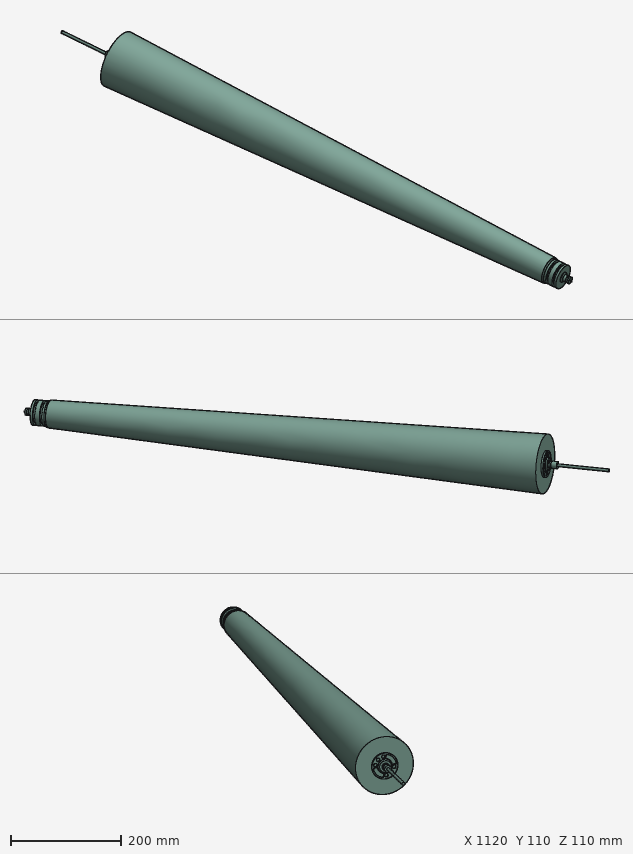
import cadquery as cq

TOTAL_LENGTH = 1120.0

BODY_START = 122.0
BODY_LENGTH = 949.0
BODY_END = BODY_START + BODY_LENGTH
WIDE_RADIUS = 55.0
NARROW_RADIUS = 26.0

CAP_RADIUS = 25.0
CAP_THICKNESS = 3.0
WIDE_CAP_FACE = BODY_START - CAP_THICKNESS
NARROW_CAP_FACE = BODY_END + CAP_THICKNESS

CAP_OPENING_DISTANCE = 18.0
SLOT_WIDTH = 8.0
SLOT_SWEEP = 76.0
SLOT_ANGLES = (-45.0, 135.0)
HOLE_RADIUS = 3.0
HOLE_SPACING = 36.0
HOLE_GROUP_ANGLES = (-135.0, 45.0)

PLUG_RADIUS = 24.0
PLUG_GROOVE_RADIUS = 19.0
PLUG_GROOVE_WIDTH = 5.0
PLUG_GROOVE_STARTS = (1079.0, 1092.0)
PLUG_END = 1101.0

HUB_LENGTH = 3.0
HUB_CHAMFER = 2.0
WIDE_HUB_RADIUS = 13.0
NARROW_HUB_RADIUS = 10.0

GLAND_RADIUS = 7.0
GLAND_NECK_RADIUS = 6.0
GLAND_NECK_WIDTH = 3.0
WIDE_GLAND_START = 99.0
WIDE_NECK_START = 110.0
NARROW_GLAND_END = 1117.0
NARROW_NECK_START = 1110.0

ROD_RADIUS = 2.8
ROD_TIP_RADIUS = 1.0


def cylinder(start, end, radius):
    """Solid cylinder on the X axis from start to end."""
    return cq.Workplane("YZ", origin=(start, 0, 0)).circle(radius).extrude(end - start)


def ring(start, width, inner_radius, outer_radius):
    """Flat ring around the X axis."""
    profile = cq.Workplane("YZ", origin=(start, 0, 0)).circle(outer_radius).circle(inner_radius)
    return profile.extrude(width)


def tapered_body():
    profile = cq.Workplane("XY").polyline(
        [(BODY_START, 0), (BODY_START, WIDE_RADIUS), (BODY_END, NARROW_RADIUS), (BODY_END, 0)]
    )
    return profile.close().revolve(360, (0, 0, 0), (1, 0, 0))


def kidney_slot(angle):
    """Arc-shaped cutter through the wide-end cap, centred on an angle about X."""
    inner_radius = CAP_OPENING_DISTANCE - SLOT_WIDTH / 2
    slot = (
        cq.Workplane("XY", origin=(WIDE_CAP_FACE, 0, 0))
        .moveTo(0, inner_radius)
        .rect(CAP_THICKNESS, SLOT_WIDTH, centered=False)
        .revolve(SLOT_SWEEP, (0, 0, 0), (1, 0, 0))
    )
    return slot.rotate((0, 0, 0), (1, 0, 0), angle - SLOT_SWEEP / 2)


def round_hole(angle):
    """Round cutter through the wide-end cap at an angle about X."""
    hole = cylinder(WIDE_CAP_FACE, BODY_START, HOLE_RADIUS).translate((0, CAP_OPENING_DISTANCE, 0))
    return hole.rotate((0, 0, 0), (1, 0, 0), angle)


def wide_cap():
    cap = cylinder(WIDE_CAP_FACE, BODY_START, CAP_RADIUS)
    for angle in SLOT_ANGLES:
        cap = cap.cut(kidney_slot(angle))
    for group_angle in HOLE_GROUP_ANGLES:
        for step in (-1, 0, 1):
            cap = cap.cut(round_hole(group_angle + step * HOLE_SPACING))
    return cap


def grooved_plug():
    plug = cylinder(NARROW_CAP_FACE, PLUG_END, PLUG_RADIUS)
    for start in PLUG_GROOVE_STARTS:
        plug = plug.cut(ring(start, PLUG_GROOVE_WIDTH, PLUG_GROOVE_RADIUS, PLUG_RADIUS))
    return plug


def hub(start, radius, outer_face):
    """Short disc, chamfered around its outer face."""
    disc = cylinder(start, start + HUB_LENGTH, radius)
    return disc.faces(outer_face).chamfer(HUB_CHAMFER)


def gland(start, end, neck_start):
    neck = ring(neck_start, GLAND_NECK_WIDTH, GLAND_NECK_RADIUS, GLAND_RADIUS)
    return cylinder(start, end, GLAND_RADIUS).cut(neck)


wide_hub_start = WIDE_CAP_FACE - HUB_LENGTH
narrow_hub_end = PLUG_END + HUB_LENGTH

pieces = [
    wide_cap(),
    hub(wide_hub_start, WIDE_HUB_RADIUS, "<X"),
    gland(WIDE_GLAND_START, wide_hub_start, WIDE_NECK_START),
    cylinder(0, WIDE_GLAND_START, ROD_RADIUS),
    cylinder(BODY_END, NARROW_CAP_FACE, CAP_RADIUS),
    grooved_plug(),
    hub(PLUG_END, NARROW_HUB_RADIUS, ">X"),
    gland(narrow_hub_end, NARROW_GLAND_END, NARROW_NECK_START),
    cylinder(NARROW_GLAND_END, TOTAL_LENGTH, ROD_TIP_RADIUS),
]

result = tapered_body()
for piece in pieces:
    result = result.union(piece)